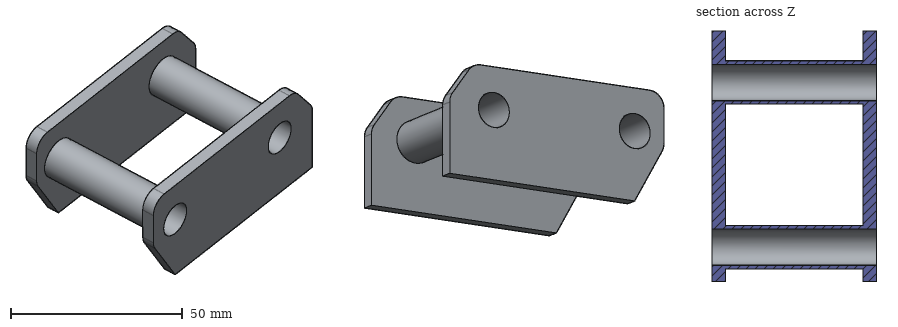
import cadquery as cq
import math

width = 48.0
length = 73.0
height = 34.0

plate_thickness = 4.0
corner_radius = 5.0
back_cut_length = 8.0
back_cut_drop = 10.95
front_cut_length = 10.0
front_cut_angle = 60.0
front_cut_rise = front_cut_length * math.tan(math.radians(front_cut_angle))

tube_diameter = 12.8
bore_diameter = 10.5
tube_height = 21.0
front_y = -length / 2
back_y = length / 2
front_tube_y = front_y + front_cut_length
tube_spacing = 47.95
tube_centres = [
    (front_tube_y, tube_height),
    (front_tube_y + tube_spacing, tube_height),
]


def side_plate(start_x):
    """Plate with two cut corners, its YZ outline extruded along +X from start_x."""
    plate = (
        cq.Workplane("YZ", origin=(start_x, 0, 0))
        .moveTo(front_y + front_cut_length, 0)
        .lineTo(back_y, 0)
        .lineTo(back_y, height - back_cut_drop)
        .lineTo(back_y - back_cut_length, height)
        .lineTo(front_y, height)
        .lineTo(front_y, front_cut_rise)
        .close()
        .extrude(plate_thickness)
    )
    upper_region = cq.selectors.BoxSelector(
        (-width, -length, front_cut_rise / 2),
        (width, length, 2 * height),
    )
    return plate.edges("|X").edges(upper_region).fillet(corner_radius)


def cylinders(diameter):
    """Full-width cylinders along X at both tube positions."""
    return (
        cq.Workplane("YZ", origin=(-width / 2, 0, 0))
        .pushPoints(tube_centres)
        .circle(diameter / 2)
        .extrude(width)
    )


left_plate = side_plate(-width / 2)
right_plate = side_plate(width / 2 - plate_thickness)
frame = left_plate.union(cylinders(tube_diameter)).union(right_plate)
result = frame.cut(cylinders(bore_diameter))